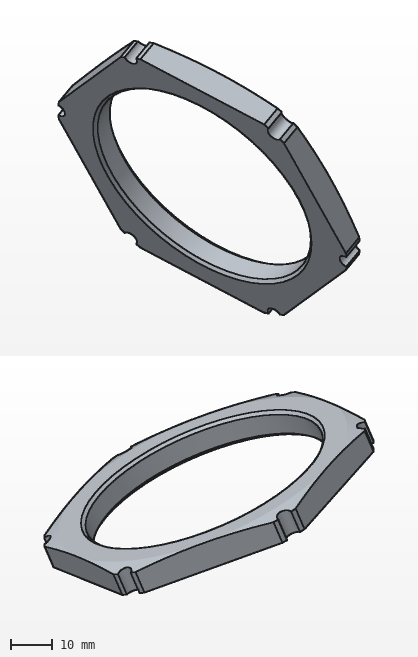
import cadquery as cq
import math

thickness = 7.0
across_flats = 75.0
notch_radius = 1.9
corner_count = 6
overall_width = 82.9

corner_radius = math.hypot(overall_width / 2, notch_radius)

bore_radius = 30.7
bore_chamfer = 0.8

crown_angle = 15.0
crown_inset = 0.1
crown_start_radius = across_flats / 2 - crown_inset
crown_drop = (corner_radius - crown_start_radius) * math.tan(math.radians(crown_angle))

front_y = -thickness / 2
back_y = thickness / 2


def make_hexagon():
    """Hexagonal prism with corners on the X axis."""
    across_corners = across_flats / math.cos(math.pi / corner_count)
    return cq.Workplane("XZ").polygon(corner_count, across_corners).extrude(thickness / 2, both=True)


def make_turned_envelope():
    """Solid of revolution that rounds the corners, crowns the back and forms the bore."""
    mouth_radius = bore_radius + bore_chamfer
    profile = [
        (mouth_radius, front_y),
        (corner_radius, front_y),
        (corner_radius, back_y - crown_drop),
        (crown_start_radius, back_y),
        (mouth_radius, back_y),
        (bore_radius, back_y - bore_chamfer),
        (bore_radius, front_y + bore_chamfer),
    ]
    return cq.Workplane("XY").polyline(profile).close().revolve(360, (0, 0, 0), (0, 1, 0))


def make_notches():
    """Round notches through the thickness, one at each corner."""
    return (
        cq.Workplane("XZ")
        .polarArray(overall_width / 2, 0, 360, corner_count)
        .circle(notch_radius)
        .extrude(thickness, both=True)
    )


result = make_hexagon().intersect(make_turned_envelope()).cut(make_notches())